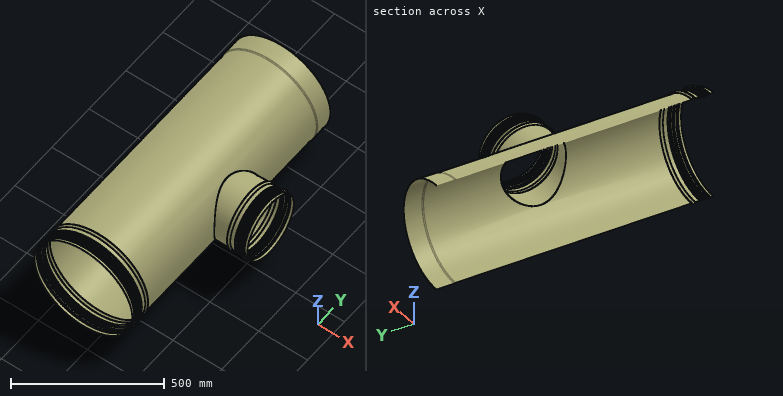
import cadquery as cq


RUN_DIAMETER = 401.6
BRANCH_DIAMETER = 251.6
SHEET = 0.5
RUN_SPIGOT_END = 570.0
RUN_SOCKET_END = 500.0
BRANCH_END = 336.0

SOCKET_LENGTH = 70.0
SOCKET_TAPER = 5.0
SOCKET_STEP = 1.5

BEAD_START = 70.0
BEAD_END = 83.6
BEAD_HEIGHT = 5.6
GROOVES = [(34.9, 40.8), (48.7, 52.7)]
GROOVE_DEPTH = 5.3
CHANNEL_START = 13.5
CHANNEL_END = 29.3
CHANNEL_DEPTH = 2.3

SEAL_RELIEF = 0.5
SEAL_BEVEL = 2.1
LIP_ROOT_START = 16.5
LIP_TIP_START = 19.4
LIP_TIP_END = 19.8
LIP_HEIGHT = 6.5

BRANCH_HOLE_DIAMETER = 252.0


def ring(radius, length):
    """Plain tube of sheet metal along +Z from the XY plane."""
    return cq.Workplane("XY").circle(radius).circle(radius - SHEET).extrude(length)


def revolve_about_z(profile):
    """Turn an XZ profile, drawn as radius and height, a full turn about Z."""
    return profile.close().revolve(360, (0, 0, 0), (0, 1, 0))


def spigot(diameter):
    """Sheet spigot with its open end on the XY plane and its bead away from it."""
    outer = diameter / 2
    inner = outer - SHEET
    bead_middle = (BEAD_START + BEAD_END) / 2
    channel_floor = outer - CHANNEL_DEPTH
    groove_floor = outer - GROOVE_DEPTH

    profile = cq.Workplane("XZ").polyline([
        (outer, 0),
        (outer, CHANNEL_START),
        (channel_floor, CHANNEL_START),
        (channel_floor, CHANNEL_END),
        (outer, CHANNEL_END),
    ])
    for start, end in GROOVES:
        round_radius = (end - start) / 2
        profile = (
            profile.lineTo(outer, start)
            .lineTo(groove_floor + round_radius, start)
            .threePointArc((groove_floor, start + round_radius), (groove_floor + round_radius, end))
            .lineTo(outer, end)
        )
    profile = profile.lineTo(outer, BEAD_START)
    profile = profile.threePointArc((outer + BEAD_HEIGHT, bead_middle), (outer, BEAD_END))

    profile = profile.lineTo(inner, BEAD_END).lineTo(inner, BEAD_END - SHEET)
    profile = profile.threePointArc((inner + BEAD_HEIGHT, bead_middle), (inner, BEAD_START + SHEET))
    for start, end in reversed(GROOVES):
        round_start = groove_floor + (end - start) / 2
        profile = (
            profile.lineTo(inner, end + SHEET)
            .lineTo(round_start, end + SHEET)
            .threePointArc((groove_floor - SHEET, (start + end) / 2), (round_start, start - SHEET))
            .lineTo(inner, start - SHEET)
        )
    profile = (
        profile.lineTo(inner, CHANNEL_END + SHEET)
        .lineTo(channel_floor - SHEET, CHANNEL_END + SHEET)
        .lineTo(channel_floor - SHEET, CHANNEL_START - SHEET)
        .lineTo(inner, CHANNEL_START - SHEET)
        .lineTo(inner, 0)
    )
    return revolve_about_z(profile)


def seal(diameter):
    """Rubber ring that sits in the spigot channel and carries one sharp lip."""
    outer = diameter / 2
    channel_floor = outer - CHANNEL_DEPTH
    back = outer - SEAL_RELIEF
    tip = outer + LIP_HEIGHT
    profile = cq.Workplane("XZ").polyline([
        (channel_floor, CHANNEL_START),
        (outer, CHANNEL_START),
        (outer, LIP_ROOT_START),
        (tip, LIP_TIP_START),
        (tip, LIP_TIP_END),
        (back, LIP_TIP_END),
        (back, CHANNEL_END - SEAL_BEVEL),
        (channel_floor, CHANNEL_END),
    ])
    return revolve_about_z(profile)


def run_tube():
    """Run from the bead of its spigot to the socket end, along +Y once placed."""
    outer = RUN_DIAMETER / 2
    inner = outer - SHEET
    start = BEAD_END
    end = RUN_SPIGOT_END + RUN_SOCKET_END
    socket_start = end - SOCKET_LENGTH
    taper_start = socket_start - SOCKET_TAPER
    profile = cq.Workplane("XZ").polyline([
        (outer, start),
        (outer, taper_start),
        (outer + SOCKET_STEP, socket_start),
        (outer + SOCKET_STEP, end),
        (inner + SOCKET_STEP, end),
        (inner + SOCKET_STEP, socket_start),
        (inner, taper_start),
        (inner, start),
    ])
    return revolve_about_z(profile)


def on_run(body):
    """Lay a body along the run, its base plane at the spigot end."""
    return body.rotate((0, 0, 0), (1, 0, 0), -90).translate((0, -RUN_SPIGOT_END, 0))


def on_branch(body):
    """Lay a body along the branch, its base plane at the branch end."""
    return body.rotate((0, 0, 0), (0, 1, 0), -90).translate((BRANCH_END, 0, 0))


branch_hole = cq.Workplane("YZ").circle(BRANCH_HOLE_DIAMETER / 2).extrude(BRANCH_END)
run_bore = cq.Workplane("XZ").circle(RUN_DIAMETER / 2 - SHEET).extrude(BRANCH_HOLE_DIAMETER, both=True)

run = on_run(run_tube()).cut(branch_hole)
run_spigot = on_run(spigot(RUN_DIAMETER))
run_seal = on_run(seal(RUN_DIAMETER))

branch_tube = ring(BRANCH_DIAMETER / 2, BRANCH_END - BEAD_END).translate((0, 0, BEAD_END))
branch = on_branch(branch_tube).cut(run_bore)
branch_spigot = on_branch(spigot(BRANCH_DIAMETER))
branch_seal = on_branch(seal(BRANCH_DIAMETER))

bodies = [run, run_spigot, run_seal, branch, branch_spigot, branch_seal]
result = cq.Compound.makeCompound([body.val() for body in bodies])